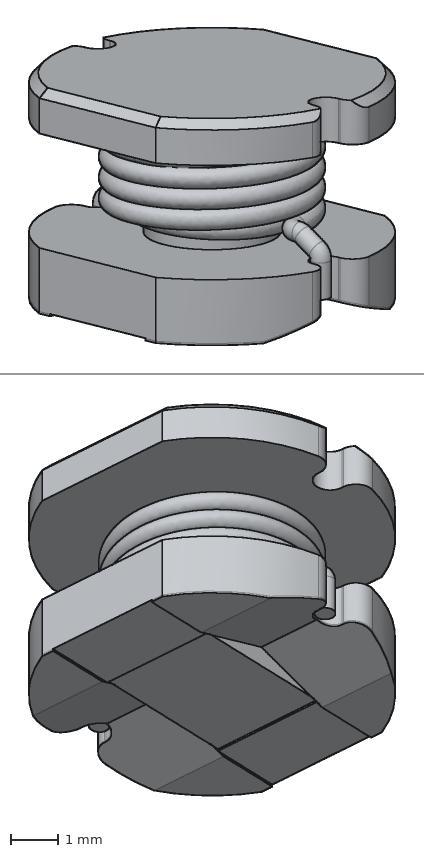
import cadquery as cq
import math

flange_radius = 3.9
flat_half_width = 3.5
base_top = 1.45
flange_bottom = 3.97
core_top = 4.95
top_chamfer = 0.2
post_radius = 1.46

notch_half_width = 0.375
notch_bottom_x = 3.0
mouth_fillet = 0.4

pad_thickness = 0.05
pad_inner_x = 1.41
groove_apex_z = 0.58
groove_half_width = 1.93
recess_depth = 0.05

wire_radius = 0.225
layer_pitch = 0.455
bend_radius = 0.23
post_clearance = 0.002
inner_radius = post_radius + wire_radius + post_clearance
outer_radius = 2.19
lead_x = notch_bottom_x + wire_radius
lead_bottom = groove_apex_z + pad_thickness
low_lead_z = base_top + bend_radius
high_lead_z = 1.93
high_lead_slope = math.radians(30)
hook_radius = 0.275
low_lead_inner_x = 2.5
snug_turns = 1.5
open_turns = 2
outer_turns = 3.75
join_tolerance = 1e-4


def disc(bottom, top):
    """Round plate with two flats, before its notches are cut."""
    plate = cq.Workplane("XY").workplane(offset=bottom).circle(flange_radius).extrude(top - bottom)
    flats = cq.Workplane("XY").workplane(offset=bottom).rect(3 * flange_radius, 2 * flat_half_width)
    return plate.intersect(flats.extrude(top - bottom))


def notch_cutter():
    """Round-bottomed slot at +X whose mouth flares out in two fillets, over the full height."""
    slot_centre_x = notch_bottom_x + notch_half_width
    fillet_y = notch_half_width + mouth_fillet
    fillet_x = math.sqrt((flange_radius - mouth_fillet) ** 2 - fillet_y ** 2)
    rim_angle = math.atan2(fillet_y, fillet_x)
    rim_x = flange_radius * math.cos(rim_angle)
    rim_y = flange_radius * math.sin(rim_angle)
    middle_angle = (rim_angle - math.pi / 2) / 2
    middle_x = fillet_x + mouth_fillet * math.cos(middle_angle)
    middle_y = fillet_y + mouth_fillet * math.sin(middle_angle)
    outside_x = flange_radius + mouth_fillet
    return (
        cq.Workplane("XY")
        .moveTo(slot_centre_x, -notch_half_width)
        .threePointArc((notch_bottom_x, 0), (slot_centre_x, notch_half_width))
        .lineTo(fillet_x, notch_half_width)
        .threePointArc((middle_x, middle_y), (rim_x, rim_y))
        .lineTo(outside_x, rim_y)
        .lineTo(outside_x, -rim_y)
        .lineTo(rim_x, -rim_y)
        .threePointArc((middle_x, -middle_y), (fillet_x, -notch_half_width))
        .close()
        .extrude(core_top)
    )


def groove_cutter(apex_z):
    """V groove along X, at the +X end, rising to apex_z; its slope is that of the pad surface."""
    floor_z = -2 * pad_thickness
    half_width = groove_half_width * (apex_z - floor_z) / groove_apex_z
    return (
        cq.Workplane("YZ")
        .workplane(offset=pad_inner_x)
        .polyline([(-half_width, floor_z), (0, apex_z), (half_width, floor_z)])
        .close()
        .extrude(flange_radius)
    )


def at_both_ends(shape):
    """The shape at +X together with its half-turn copy at -X."""
    return [shape, shape.rotate((0, 0, 0), (0, 0, 1), 180)]


def make_pad(core_groove):
    """Thin pad under the +X end that follows the V groove."""
    under_layer = disc(0, pad_thickness).union(core_groove)
    pad_area = cq.Workplane("XY").box(
        flange_radius, 2 * flange_radius, base_top, centered=(False, True, False)
    )
    pad_block = disc(0, base_top).intersect(pad_area.translate((pad_inner_x, 0, 0)))
    return pad_block.intersect(under_layer).cut(groove_cutter(groove_apex_z))


def recess_cutter():
    """Shallow channel along X in the underside, joining the two grooves."""
    half_width = groove_half_width * (groove_apex_z - recess_depth) / groove_apex_z
    channel = cq.Workplane("XY").workplane(offset=pad_thickness)
    return channel.rect(2 * pad_inner_x, 2 * half_width).extrude(recess_depth)


def make_core():
    core_groove = groove_cutter(groove_apex_z + pad_thickness)
    base = disc(pad_thickness, base_top).cut(recess_cutter())
    for groove in at_both_ends(core_groove):
        base = base.cut(groove)

    flange = disc(flange_bottom, core_top).faces(">Z").edges().chamfer(top_chamfer)
    post = cq.Workplane("XY").workplane(offset=base_top).circle(post_radius)
    core = base.union(post.extrude(flange_bottom - base_top)).union(flange)

    notch = notch_cutter()
    for cutter in at_both_ends(notch):
        core = core.cut(cutter)

    for pad in at_both_ends(make_pad(core_groove).cut(notch)):
        core = core.union(pad, clean=False)
    return core


def line(start, end):
    return cq.Edge.makeLine(cq.Vector(*start), cq.Vector(*end))


def flat_arc(centre_x, centre_y, z, radius, start_angle, end_angle):
    """Arc in a level plane, angles in radians."""
    def point(angle):
        return cq.Vector(centre_x + radius * math.cos(angle), centre_y + radius * math.sin(angle), z)
    return cq.Edge.makeThreePointArc(
        point(start_angle), point((start_angle + end_angle) / 2), point(end_angle)
    )


def upright_arc(centre_x, centre_z, start_angle, end_angle):
    """Bend in the XZ plane, angles in radians."""
    def point(angle):
        return cq.Vector(
            centre_x + bend_radius * math.cos(angle), 0, centre_z + bend_radius * math.sin(angle)
        )
    return cq.Edge.makeThreePointArc(
        point(start_angle), point((start_angle + end_angle) / 2), point(end_angle)
    )


def helix(radius, pitch, turns, start_z, start_angle, left_handed):
    """Rising helix around Z, start angle in degrees."""
    coil = cq.Wire.makeHelix(pitch, pitch * turns, radius, lefthand=left_handed)
    turned = coil.rotate(cq.Vector(), cq.Vector(0, 0, 1), start_angle)
    return turned.translate(cq.Vector(0, 0, start_z)).Edges()


def low_lead():
    """Edges of the -X lead: up the notch, level towards the post, then a hook onto the inner layer."""
    bend_x = -lead_x + bend_radius
    hook_x = -inner_radius - hook_radius
    run = low_lead_inner_x + hook_x
    reverse_radius = (run ** 2 - hook_radius ** 2) / (2 * hook_radius)
    join_angle = math.atan2(reverse_radius, run)
    return [
        line((-lead_x, 0, lead_bottom), (-lead_x, 0, base_top)),
        upright_arc(bend_x, base_top, math.pi, math.pi / 2),
        line((bend_x, 0, low_lead_z), (-low_lead_inner_x, 0, low_lead_z)),
        flat_arc(-low_lead_inner_x, -reverse_radius, low_lead_z, reverse_radius, math.pi / 2, join_angle),
        flat_arc(hook_x, 0, low_lead_z, hook_radius, math.pi + join_angle, 2 * math.pi),
    ]


def high_lead_and_outer_layer():
    """Edges of the outer layer from +X up, and of the +X lead from the winding down its notch.

    Also gives the level at which the outer layer ends at -Y.
    """
    bend_x = lead_x - bend_radius
    steep = math.pi / 2 - high_lead_slope
    lower_end_x = bend_x + bend_radius * math.cos(steep)
    lower_end_z = base_top + bend_radius * math.sin(steep)
    upper_bend_z = high_lead_z - bend_radius
    upper_end_z = upper_bend_z + bend_radius * math.sin(steep)
    upper_end_x = lower_end_x - (upper_end_z - lower_end_z) / math.tan(high_lead_slope)
    entry_x = upper_end_x - bend_radius * math.cos(steep)
    entry_radius = (entry_x ** 2 - outer_radius ** 2) / (2 * outer_radius)
    entry_angle = math.atan2(entry_radius, entry_x)
    turns = outer_turns - entry_angle / (2 * math.pi)
    crossover_z = high_lead_z + turns * layer_pitch
    coil = helix(outer_radius, layer_pitch, turns, high_lead_z, math.degrees(entry_angle), False)
    lead = [
        flat_arc(entry_x, entry_radius, high_lead_z, entry_radius, math.pi + entry_angle, 1.5 * math.pi),
        upright_arc(entry_x, upper_bend_z, math.pi / 2, steep),
        line((upper_end_x, 0, upper_end_z), (lower_end_x, 0, lower_end_z)),
        upright_arc(bend_x, base_top, steep, 0),
        line((lead_x, 0, base_top), (lead_x, 0, lead_bottom)),
    ]
    return coil + lead, crossover_z


def inner_layer(crossover_z):
    """Inner winding from the hook at -X up to the crossover level at +X."""
    snug_top = low_lead_z + snug_turns * layer_pitch
    open_pitch = (crossover_z - snug_top) / open_turns
    snug = helix(inner_radius, layer_pitch, snug_turns, low_lead_z, 180, True)
    spread = helix(inner_radius, open_pitch, open_turns, snug_top, 0, True)
    return snug + spread


def crossover(z):
    """Level quarter ellipse from the inner layer at +X to the outer layer at -Y."""
    return cq.Edge.makeEllipse(
        outer_radius, inner_radius, cq.Vector(0, 0, z), cq.Vector(0, 0, 1), cq.Vector(0, 1, 0), 180, 270
    )


def make_wire():
    outer_edges, crossover_z = high_lead_and_outer_layer()
    edges = low_lead() + inner_layer(crossover_z) + [crossover(crossover_z)] + outer_edges
    path = cq.Wire.combine(edges, join_tolerance)[0]
    section = cq.Workplane("XY", origin=(-lead_x, 0, lead_bottom)).circle(wire_radius)
    return section.sweep(cq.Workplane(obj=path), transition="transformed")


core = make_core()
wire = make_wire()
result = cq.Compound.makeCompound([core.solids().val(), wire.solids().val()])